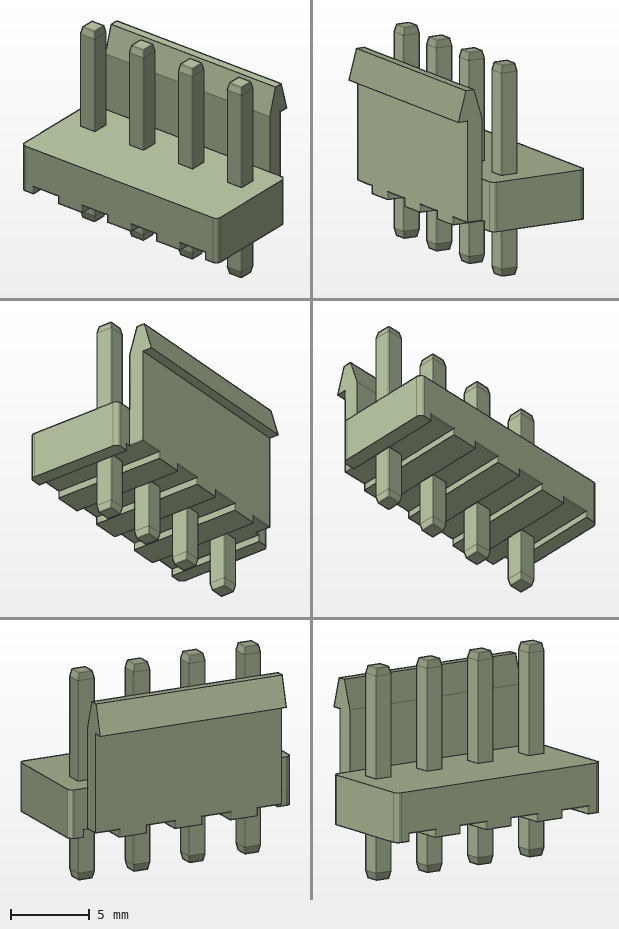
import cadquery as cq
body_length = 15.84
body_depth = 6.95
body_height = 3.23
corner_radius = 0.35

pin_count = 4
pin_pitch = 3.96
pin_width = 1.19
pin_row_from_back = 2.12
pin_below_body = 3.39
pin_length = 13.8
tip_length = 0.5
tip_inset = 0.11
pin_edge_radius = 0.05

latch_length = 13.3
latch_thickness = 1.08
latch_height = 9.12
latch_bend_height = 7.24
barb_height = 7.13
barb_overhang = 0.67
crest_from_front = 0.59
crest_thickness = 0.59

groove_width = 2.01
groove_depth = 0.5
groove_edge_radius = 0.05

selection_margin = 0.02

pin_row_y = body_depth - pin_row_from_back
latch_back_y = body_depth + latch_thickness
pin_positions = [(i - (pin_count - 1) / 2) * pin_pitch for i in range(pin_count)]


def make_body():
    block = cq.Workplane("XY").box(body_length, body_depth, body_height, centered=(True, False, False))
    return block.edges("|Z").fillet(corner_radius)


def make_latch():
    crest_front_y = body_depth + crest_from_front
    profile = [
        (body_depth, 0),
        (body_depth, latch_bend_height),
        (crest_front_y, latch_height),
        (crest_front_y + crest_thickness, latch_height),
        (latch_back_y + barb_overhang, barb_height),
        (latch_back_y, barb_height),
        (latch_back_y, 0),
    ]
    return cq.Workplane("YZ").polyline(profile).close().extrude(latch_length / 2, both=True)


def cut_grooves(housing):
    """Cut a straight groove from front to back at each pin and round its rims."""
    for x in pin_positions:
        groove = cq.Workplane("XY").box(groove_width, latch_back_y, groove_depth, centered=(True, False, False))
        housing = housing.cut(groove.translate((x, 0, 0)))

    latch_end = latch_length / 2
    rim_regions = [
        ((-body_length / 2, 0, 0), (body_length / 2, 0, groove_depth)),
        ((-latch_end, latch_back_y, 0), (latch_end, latch_back_y, groove_depth)),
        ((-latch_end, body_depth, groove_depth), (-latch_end, latch_back_y, groove_depth)),
        ((latch_end, body_depth, groove_depth), (latch_end, latch_back_y, groove_depth)),
    ]
    rims = housing.newObject([])
    for low, high in rim_regions:
        low_corner = [value - selection_margin for value in low]
        high_corner = [value + selection_margin for value in high]
        region = cq.selectors.BoxSelector(low_corner, high_corner, boundingbox=True)
        rims = rims.add(housing.edges(region))
    rims = rims.filter(lambda edge: edge.Center().z > selection_margin)
    return rims.fillet(groove_edge_radius)


def make_pin():
    """Pin with a tapered tip at each end and all of its long and end edges rounded."""
    shaft_length = pin_length - 2 * tip_length
    tip_width = pin_width - 2 * tip_inset
    pin = cq.Workplane("XY").box(pin_width, pin_width, shaft_length)
    for end in (">Z", "<Z"):
        tip = (
            pin.faces(end)
            .workplane()
            .rect(pin_width, pin_width)
            .workplane(offset=tip_length)
            .rect(tip_width, tip_width)
            .loft(combine=False)
        )
        pin = pin.union(tip)
    rounded_edges = pin.edges("(not #Z) or >Z or <Z")
    pin = rounded_edges.fillet(pin_edge_radius)
    return pin.translate((0, pin_row_y, pin_length / 2 - pin_below_body))


housing = cut_grooves(make_body().union(make_latch()))
pin = make_pin()
for x in pin_positions:
    housing = housing.union(pin.translate((x, 0, 0)))

result = housing